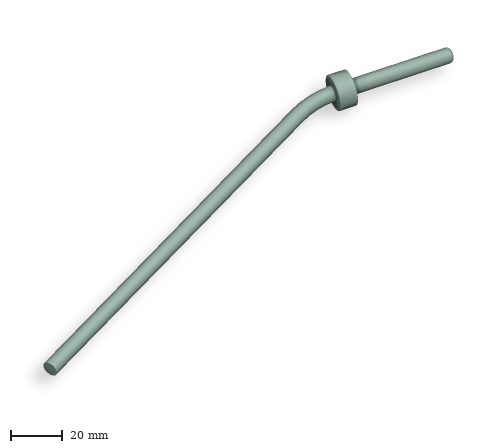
import cadquery as cq
import math

ROD_RADIUS = 3.2
SHANK_LENGTH = 160.0
BEND_RADIUS = 36.5
BEND_ANGLE = 30.0
TIP_LENGTH = 48.62
TIP_FILLET = 2.0

COLLAR_RADIUS = 7.33
COLLAR_WIDTH = 7.6
COLLAR_OFFSET = -1.4
COLLAR_FILLET = 0.5

bend_rad = math.radians(BEND_ANGLE)
tip_direction = cq.Vector(math.sin(bend_rad), math.cos(bend_rad), 0)


def bend_point(angle):
    """Point on the rod's centre line, at an angle (radians) into the bend."""
    return cq.Vector(
        BEND_RADIUS * (1 - math.cos(angle)),
        SHANK_LENGTH + BEND_RADIUS * math.sin(angle),
        0,
    )


bend_end = bend_point(bend_rad)


def tip_cylinder(radius, length, start):
    """Cylinder on the tip's axis, starting a signed distance past the bend's end."""
    plane = cq.Plane(
        origin=bend_end + tip_direction * start,
        xDir=(0, 0, 1),
        normal=tip_direction,
    )
    return cq.Workplane(plane).circle(radius).extrude(length)


def shank_and_bend():
    path = (
        cq.Workplane("XY")
        .lineTo(0, SHANK_LENGTH)
        .threePointArc(bend_point(bend_rad / 2).toTuple()[:2], bend_end.toTuple()[:2])
    )
    return cq.Workplane("XZ").circle(ROD_RADIUS).sweep(path)


def tip():
    rod = tip_cylinder(ROD_RADIUS, TIP_LENGTH, 0)
    return rod.faces(">Y").edges().fillet(TIP_FILLET)


def collar():
    ring = tip_cylinder(COLLAR_RADIUS, COLLAR_WIDTH, COLLAR_OFFSET)
    return ring.edges("%CIRCLE").fillet(COLLAR_FILLET)


result = shank_and_bend().union(tip()).union(collar())